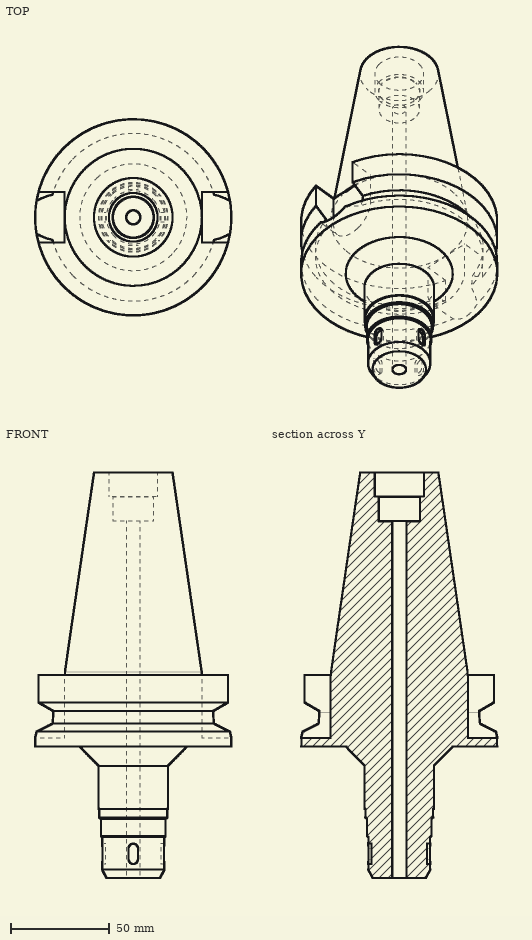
import cadquery as cq

total_height = 206.8
gauge_z = 105.0
taper_small_radius = 20.0
taper_large_radius = 35.0

flange_radius = 50.0
flange_top_z = 103.6
flange_bottom_z = 67.0
groove_radius = 42.8
groove_top_z = 89.5
groove_floor_top_z = 85.2
groove_floor_bottom_z = 78.8
groove_bottom_z = 74.7

collar_large_radius = 27.3
neck_radius = 17.8
neck_top_z = 57.3
neck_bottom_z = 35.4
shoulder_radius = 17.4
shoulder_bottom_z = 30.8
sleeve_radius = 16.5
sleeve_bottom_z = 21.5
nose_radius = 16.0
step_bevel_height = 0.6
nose_chamfer_z = 4.3
nose_end_radius = 13.6

bore_radius = 12.5
bore_depth = 12.2
thread_radius = 10.5
thread_depth = 24.8
thread_chamfer = 0.2
through_radius = 3.5

key_width = 25.6
key_floor_x = 35.2
key_bottom_z = 71.5

slot_count = 4
slot_width = 4.8
slot_length = 10.3
slot_center_z = 12.5
slot_depth = 1.7


def make_body():
    """Revolve the outer half profile about Z."""
    profile = [
        (0, 0),
        (nose_end_radius, 0),
        (nose_radius, nose_chamfer_z),
        (nose_radius, sleeve_bottom_z - step_bevel_height),
        (sleeve_radius, sleeve_bottom_z),
        (sleeve_radius, shoulder_bottom_z - step_bevel_height),
        (shoulder_radius, shoulder_bottom_z),
        (shoulder_radius, neck_bottom_z),
        (neck_radius, neck_bottom_z),
        (neck_radius, neck_top_z),
        (collar_large_radius, flange_bottom_z),
        (flange_radius, flange_bottom_z),
        (flange_radius, groove_bottom_z),
        (groove_radius, groove_floor_bottom_z),
        (groove_radius, groove_floor_top_z),
        (flange_radius, groove_top_z),
        (flange_radius, flange_top_z),
        (taper_large_radius, flange_top_z),
        (taper_large_radius, gauge_z),
        (taper_small_radius, total_height),
        (0, total_height),
    ]
    return cq.Workplane("XZ").polyline(profile).close().revolve(360, (0, 0), (0, 1))


def make_bore():
    """Stepped bore opening at the taper end, with a through hole on the axis."""
    bore_floor_z = total_height - bore_depth
    thread_floor_z = total_height - thread_depth
    profile = [
        (0, 0),
        (through_radius, 0),
        (through_radius, thread_floor_z),
        (thread_radius - thread_chamfer, thread_floor_z),
        (thread_radius - thread_chamfer, bore_floor_z - thread_chamfer),
        (thread_radius, bore_floor_z),
        (bore_radius, bore_floor_z),
        (bore_radius, total_height),
        (0, total_height),
    ]
    return cq.Workplane("XZ").polyline(profile).close().revolve(360, (0, 0), (0, 1))


def make_keyway():
    """Round-bottomed keyway cutter on the +X side, open at the flange top."""
    half_width = key_width / 2
    arc_center_z = key_bottom_z + half_width
    return (
        cq.Workplane("YZ", origin=(key_floor_x, 0, 0))
        .moveTo(-half_width, gauge_z)
        .lineTo(-half_width, arc_center_z)
        .threePointArc((0, key_bottom_z), (half_width, arc_center_z))
        .lineTo(half_width, gauge_z)
        .close()
        .extrude(flange_radius)
    )


def make_nose_slot():
    """Round-ended vertical slot cutter on the +X side of the nose."""
    return (
        cq.Workplane("YZ", origin=(nose_radius - slot_depth, 0, slot_center_z))
        .slot2D(slot_length, slot_width, 90)
        .extrude(nose_radius)
    )


def rotate_about_axis(solid, angle):
    return solid.rotate((0, 0, 0), (0, 0, 1), angle)


result = make_body().cut(make_bore())
for key_angle in (0, 180):
    result = result.cut(rotate_about_axis(make_keyway(), key_angle))
for slot_index in range(slot_count):
    slot_angle = slot_index * 360 / slot_count
    result = result.cut(rotate_about_axis(make_nose_slot(), slot_angle))